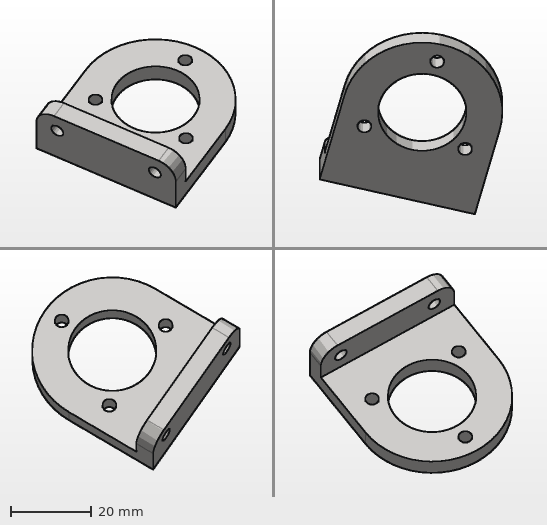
import cadquery as cq

width = 40.0
length = 45.0
height = 15.0
thickness = height / 3

end_radius = width / 2
front_y = end_radius - length
bore_diameter = 22.0
screw_diameter = 3.4
screw_circle_radius = 15.0
screw_count = 3
first_screw_angle = 90.0

corner_radius = thickness
wall_hole_spacing = 28.0
wall_hole_height = height - corner_radius


def make_base_plate():
    """Flat plate with a semicircular rear end."""
    return (
        cq.Workplane("XY")
        .moveTo(-end_radius, front_y)
        .lineTo(end_radius, front_y)
        .lineTo(end_radius, 0)
        .threePointArc((0, end_radius), (-end_radius, 0))
        .close()
        .extrude(thickness)
    )


def make_wall():
    """Upright wall along the front edge, with rounded top corners."""
    return (
        cq.Workplane("XY")
        .box(width, thickness, height, centered=(True, False, False))
        .translate((0, front_y, 0))
        .edges("|Y and >Z")
        .fillet(corner_radius)
    )


def make_base_holes():
    """Cutters for the central bore and the screw holes around it."""
    bore = cq.Workplane("XY").circle(bore_diameter / 2).extrude(thickness)
    screws = (
        cq.Workplane("XY")
        .polarArray(screw_circle_radius, first_screw_angle, 360, screw_count)
        .circle(screw_diameter / 2)
        .extrude(thickness)
    )
    return bore.union(screws)


def make_wall_holes():
    """Cutters for the two mounting holes through the wall."""
    half_spacing = wall_hole_spacing / 2
    return (
        cq.Workplane("XZ", origin=(0, front_y, 0))
        .pushPoints([(side * half_spacing, wall_hole_height) for side in (-1, 1)])
        .circle(screw_diameter / 2)
        .extrude(-thickness)
    )


bracket = make_base_plate().union(make_wall())
result = bracket.cut(make_base_holes()).cut(make_wall_holes())